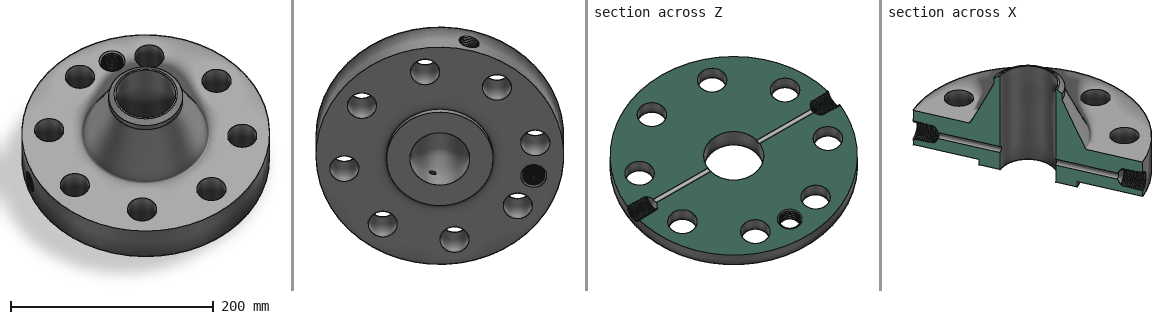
import cadquery as cq
import math

flange_diameter = 244.4
flange_thickness = 41.3
raised_face_diameter = 105.0
raised_face_height = 6.4
overall_height = 111.0
bore_diameter = 59.0

hub_base_diameter = 124.0
hub_end_diameter = 73.0
hub_base_fillet = 2.5
hub_straight_length = 10.5
bevel_height = 4.0
bevel_land = 1.7

bolt_count = 8
bolt_circle_diameter = 190.5
bolt_hole_diameter = 28.5

jack_major_diameter = 25.5
jack_pitch = 3.2
jack_thread_depth = 2.0

tap_height = 24.0
tap_major_diameter = 21.7
tap_pitch = 1.8
tap_thread_depth = 1.5
tap_thread_count = 13
tap_taper = 1 / 16
tap_passage_diameter = 6.4
drill_point_angle = 118.0

thread_flank_angle = 30.0

flange_radius = flange_diameter / 2
flange_top = raised_face_height + flange_thickness
bolt_circle_radius = bolt_circle_diameter / 2


def revolve_about_z(profile):
    """Turn a closed list of (radius, height) points into a solid about Z."""
    return cq.Workplane("XZ").polyline(profile).close().revolve(360, (0, 0), (0, 1))


def make_body():
    """Revolve the flange, raised face and hub, then fillet the foot of the hub."""
    bore_radius = bore_diameter / 2
    raised_face_radius = raised_face_diameter / 2
    hub_end_radius = hub_end_diameter / 2
    body = revolve_about_z([
        (bore_radius, 0),
        (raised_face_radius, 0),
        (raised_face_radius, raised_face_height),
        (flange_radius, raised_face_height),
        (flange_radius, flange_top),
        (hub_base_diameter / 2, flange_top),
        (hub_end_radius, overall_height - hub_straight_length),
        (hub_end_radius, overall_height - bevel_height),
        (bore_radius + bevel_land, overall_height),
        (bore_radius, overall_height),
    ])
    hub_foot = cq.selectors.RadiusNthSelector(-2)
    return body.edges(hub_foot).fillet(hub_base_fillet)


def thread_profile(major_diameter, pitch, depth, count, taper=0.0):
    """(radius, distance) points down a threaded wall, from one groove root to another.

    The thread is simplified to V grooves that run round the hole as closed rings.
    """
    groove_half_width = depth * math.tan(math.radians(thread_flank_angle))

    def wall_point(distance, inset):
        return (major_diameter / 2 - taper / 2 * distance - inset, distance)

    points = [wall_point(0, 0)]
    for turn in range(count):
        points.append(wall_point(turn * pitch + groove_half_width, depth))
        points.append(wall_point((turn + 1) * pitch - groove_half_width, depth))
        points.append(wall_point((turn + 1) * pitch, 0))
    return points


def make_bolt_holes():
    """Bolt holes straddling the X and Y axes, as solids to cut."""
    return (
        cq.Workplane("XY")
        .polarArray(bolt_circle_radius, 180 / bolt_count, 360, bolt_count)
        .circle(bolt_hole_diameter / 2)
        .extrude(overall_height)
    )


def make_jack_hole():
    """Threaded through hole, as a solid to cut."""
    turn_count = math.ceil(flange_thickness / jack_pitch)
    wall = thread_profile(jack_major_diameter, jack_pitch, jack_thread_depth, turn_count)
    hole = revolve_about_z([(0, 0)] + wall + [(0, turn_count * jack_pitch)])
    return hole.rotate((0, 0, 0), (1, 0, 0), 180).translate((-bolt_circle_radius, 0, flange_top))


def make_tap():
    """Tapered threaded tap facing -Y, with a drill point and a passage to the bore."""
    wall = thread_profile(
        tap_major_diameter, tap_pitch, tap_thread_depth, tap_thread_count, tap_taper
    )
    thread_length = tap_thread_count * tap_pitch
    end_radius = (tap_major_diameter - tap_taper * thread_length) / 2 - tap_thread_depth
    passage_radius = tap_passage_diameter / 2
    point_length = (end_radius - passage_radius) / math.tan(math.radians(drill_point_angle / 2))
    hole = revolve_about_z(
        [(0, 0)]
        + wall[:-1]
        + [
            (end_radius, thread_length),
            (passage_radius, thread_length + point_length),
            (passage_radius, flange_radius),
            (0, flange_radius),
        ]
    )
    return hole.rotate((0, 0, 0), (1, 0, 0), -90).translate((0, -flange_radius, tap_height))


tap = make_tap()
opposite_tap = tap.rotate((0, 0, 0), (0, 0, 1), 180)

result = make_body().cut(make_bolt_holes()).cut(make_jack_hole()).cut(tap).cut(opposite_tap)